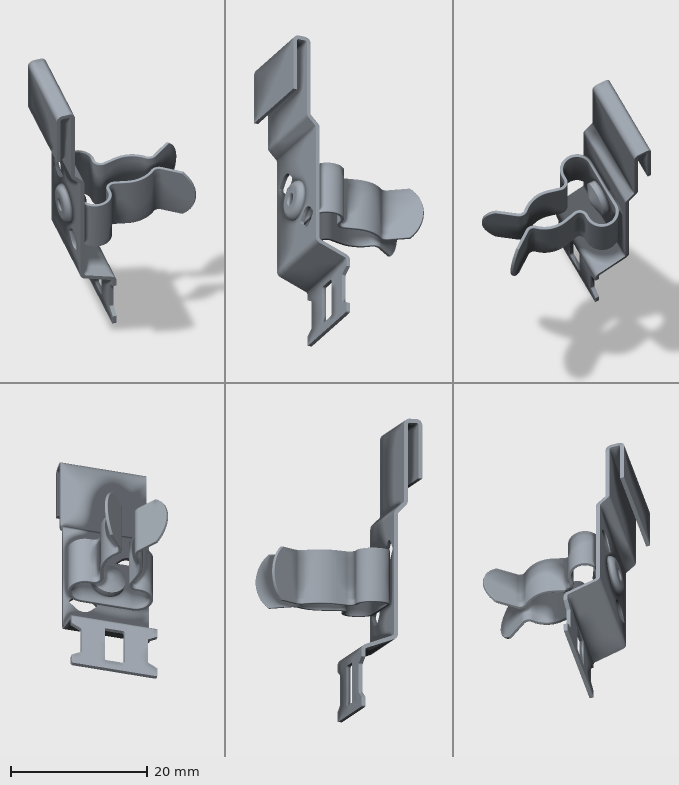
import cadquery as cq
import math

plate_width = 13.0
plate_height = 43.35
plate_thickness = 0.6
plate_bend_radius = 0.3
hook_tip_z = 34.5
hook_front_y = -3.7
upper_leg_front_y = -1.47
upper_jog_z = 30.05
upper_jog_angle = 45.0
lower_leg_front_y = 5.0
lower_jog_z = 9.85
lower_jog_angle = 70.0

leg_cutout_z = 4.5
slot_width = 3.0
slot_height = 6.0
leg_corner_radius = 0.25
notch_depth = 1.47
notch_outer_height = 6.0
notch_inner_height = 4.35

fastening_z = 19.85
pointed_hole_x = 3.45
pointed_hole_rise = 4.15
pointed_hole_radius = 1.6
pointed_hole_half_width = 2.1

clip_height = 8.0
clip_thickness = 0.48
clip_base_half_length = 3.85
loop_outer_radius = 2.5
loop_flat = 0.55
neck_radius = 1.1
neck_lean = 14.0
neck_straight = 1.85
grip_radius = 4.6
grip_end_lean = 44.0
throat_radius = 1.1
flap_lean = 36.7
flap_length = 5.35
flap_end_radius = 5.0
clip_edge_radius = 0.1

rivet_head_radius = 3.0
rivet_head_height = 1.0
rivet_shank_radius = 2.55
rivet_shank_end_y = 2.15
rivet_cone_slope = 22.0
rivet_tip_radius = 1.95
rivet_recess_radius = 1.0
rivet_recess_depth = 1.0

cut_margin = 0.45


def heading_vector(heading):
    """Unit vector for a heading in degrees."""
    return cq.Vector(math.cos(math.radians(heading)), math.sin(math.radians(heading)))


def straight(length):
    """One straight run of a strip."""
    return {"length": length}


def bend(radius, turn):
    """One bend of a strip: middle-line radius and turn, left turns positive."""
    return {"radius": radius, "turn": turn}


def walk(start, heading, steps):
    """Follow the middle line; return the end point and end heading of every step."""
    stations = [(start, heading)]
    for step in steps:
        point, heading = stations[-1]
        if "length" in step:
            stations.append((point + heading_vector(heading) * step["length"], heading))
        else:
            side = math.copysign(90, step["turn"])
            center = point + heading_vector(heading + side) * step["radius"]
            new_heading = heading + step["turn"]
            stations.append((center - heading_vector(new_heading + side) * step["radius"], new_heading))
    return stations


def bent_strip(plane, start, heading, steps, thickness, width):
    """Strip of constant thickness along a path, extruded to both sides of the plane."""
    stations = walk(start, heading, steps)

    def edge_point(point, direction, side):
        return (point + heading_vector(direction + side) * (thickness / 2)).toTuple()[:2]

    def edge_middle(index, side):
        half_step = bend(steps[index]["radius"], steps[index]["turn"] / 2)
        return edge_point(*walk(*stations[index], [half_step])[-1], side)

    def trace(outline, index, target, side):
        end = edge_point(*stations[target], side)
        if "length" in steps[index]:
            return outline.lineTo(*end)
        return outline.threePointArc(edge_middle(index, side), end)

    outline = cq.Workplane(plane).moveTo(*edge_point(*stations[0], 90))
    for index in range(len(steps)):
        outline = trace(outline, index, index + 1, 90)
    outline = outline.lineTo(*edge_point(*stations[-1], -90))
    for index in reversed(range(len(steps))):
        outline = trace(outline, index, index, -90)
    return outline.close().extrude(width / 2, both=True)


def plate_strip():
    """Sheet profile in the YZ plane, from the hook tip over the top and down to the foot."""
    half = plate_thickness / 2
    radius = plate_bend_radius + half

    def jog_lengths(offset, angle):
        """Straight length and full height of a sideways step with a bend at each end."""
        turn = math.radians(angle)
        slope = (offset - 2 * radius * (1 - math.cos(turn))) / math.sin(turn)
        return slope, slope * math.cos(turn) + 2 * radius * math.sin(turn)

    upper_slope, upper_jog_height = jog_lengths(-upper_leg_front_y, upper_jog_angle)
    lower_slope, lower_jog_height = jog_lengths(lower_leg_front_y, lower_jog_angle)
    top_bend_z = plate_height - half - radius
    upper_jog_top = upper_jog_z + upper_jog_height / 2
    upper_jog_bottom = upper_jog_z - upper_jog_height / 2
    lower_jog_top = lower_jog_z + lower_jog_height / 2
    lower_jog_bottom = lower_jog_z - lower_jog_height / 2

    steps = [
        straight(top_bend_z - hook_tip_z),
        bend(radius, -90),
        straight(upper_leg_front_y - hook_front_y - 2 * radius),
        bend(radius, -90),
        straight(top_bend_z - upper_jog_top),
        bend(radius, upper_jog_angle),
        straight(upper_slope),
        bend(radius, -upper_jog_angle),
        straight(upper_jog_bottom - lower_jog_top),
        bend(radius, lower_jog_angle),
        straight(lower_slope),
        bend(radius, -lower_jog_angle),
        straight(lower_jog_bottom),
    ]
    hook_tip = cq.Vector(hook_front_y + half, hook_tip_z)
    return bent_strip("YZ", hook_tip, 90, steps, plate_thickness, plate_width)


def through_y(outline, from_y, depth):
    """Prism of an XZ outline reaching from from_y - margin to from_y + depth + margin."""
    prism = outline.extrude(-(depth + 2 * cut_margin))
    return prism.translate((0, from_y - cut_margin, 0))


def leg_cutouts():
    """Slot and the two trapezoidal side notches of the bottom leg."""
    slot_outline = cq.Workplane("XZ").center(0, leg_cutout_z).rect(slot_width, slot_height)
    slot = through_y(slot_outline, lower_leg_front_y, plate_thickness)
    slot = slot.edges("|Y").fillet(leg_corner_radius)
    edge_x = plate_width / 2
    notch_outline = cq.Workplane("XZ").center(0, leg_cutout_z).polyline([
        (edge_x, notch_outer_height / 2),
        (edge_x - notch_depth, notch_inner_height / 2),
        (edge_x - notch_depth, -notch_inner_height / 2),
        (edge_x, -notch_outer_height / 2),
    ]).close()
    notch = through_y(notch_outline, lower_leg_front_y, plate_thickness)
    notch = notch.faces("<X").edges("|Y").fillet(leg_corner_radius)
    return slot.union(notch).union(notch.mirror("YZ"))


def pointed_hole(x, z):
    """Round hole drawn out to a blunt 45 degree point on both sides."""
    tangent = pointed_hole_radius * math.sin(math.radians(45))
    tip_half_height = 2 * tangent - pointed_hole_half_width
    outline = (
        cq.Workplane("XZ").center(x, z)
        .moveTo(-tangent, tangent)
        .threePointArc((0, pointed_hole_radius), (tangent, tangent))
        .lineTo(pointed_hole_half_width, tip_half_height)
        .lineTo(pointed_hole_half_width, -tip_half_height)
        .lineTo(tangent, -tangent)
        .threePointArc((0, -pointed_hole_radius), (-tangent, -tangent))
        .lineTo(-pointed_hole_half_width, -tip_half_height)
        .lineTo(-pointed_hole_half_width, tip_half_height)
        .close()
    )
    return through_y(outline, 0, plate_thickness)


def shank_hole():
    """Hole for the rivet shank through the plate and the clip base."""
    outline = cq.Workplane("XZ").center(0, fastening_z).circle(rivet_shank_radius)
    return through_y(outline, 0, plate_thickness + clip_thickness)


def make_plate():
    plate = plate_strip().faces("<Z").edges("|Y").fillet(leg_corner_radius)
    plate = plate.cut(leg_cutouts()).cut(shank_hole())
    for side in (-1, 1):
        plate = plate.cut(pointed_hole(side * pointed_hole_x, fastening_z - side * pointed_hole_rise))
    return plate


def flap_corners(flap_end, heading):
    """Waste around the rounded end of a flap."""
    half_height = clip_height / 2
    sag = flap_end_radius - math.sqrt(flap_end_radius ** 2 - half_height ** 2)
    along = heading_vector(heading)
    flap_plane = cq.Plane(
        origin=(flap_end.x, flap_end.y, fastening_z), xDir=along, normal=heading_vector(heading - 90)
    )
    return (
        cq.Workplane(flap_plane)
        .moveTo(-sag, half_height)
        .threePointArc((0, 0), (-sag, -half_height))
        .lineTo(cut_margin, -half_height)
        .lineTo(cut_margin, half_height)
        .close()
        .extrude(clip_thickness, both=True)
    )


def clip_arm():
    """The -X half of the clip, from the middle of the base to the flap end."""
    half = clip_thickness / 2
    steps = [
        straight(clip_base_half_length),
        bend(loop_outer_radius - half, -180),
        straight(loop_flat),
        bend(neck_radius, 90 + neck_lean),
        straight(neck_straight),
        bend(grip_radius, -(neck_lean + grip_end_lean)),
        bend(throat_radius, grip_end_lean + flap_lean),
        straight(flap_length),
    ]
    start = cq.Vector(0, plate_thickness + half)
    base_heading = 180
    level = cq.Plane.XY(origin=(0, 0, fastening_z))
    arm = bent_strip(level, start, base_heading, steps, clip_thickness, clip_height)
    flap_end, flap_heading = walk(start, base_heading, steps)[-1]
    return arm.cut(flap_corners(flap_end, flap_heading))


def make_clip():
    arm = clip_arm()
    clip = arm.union(arm.mirror("YZ"))
    rim_edges = clip.faces("|Z").edges()
    flap_end_edges = clip.faces(">Y").edges()
    clip = rim_edges.add(flap_end_edges).fillet(clip_edge_radius)
    return clip.cut(shank_hole())


def make_rivet():
    """Revolved rivet: rounded head with a conical recess, plain shank, blunt conical end."""
    head_face_y = -rivet_head_height
    flat_radius = rivet_head_radius - rivet_head_height
    diagonal = rivet_head_height * math.sin(math.radians(45))
    slope = math.radians(rivet_cone_slope)
    tip_center_y = (
        rivet_shank_end_y + rivet_shank_radius * math.tan(slope) - rivet_tip_radius / math.cos(slope)
    )

    def tip_point(angle):
        """Point of the rounded tip at an angle from the rivet axis."""
        return rivet_tip_radius * math.sin(angle), tip_center_y + rivet_tip_radius * math.cos(angle)

    profile = (
        cq.Workplane("XY", origin=(0, 0, fastening_z))
        .moveTo(0, head_face_y + rivet_recess_depth)
        .lineTo(rivet_recess_radius, head_face_y)
        .lineTo(flat_radius, head_face_y)
        .threePointArc((flat_radius + diagonal, -diagonal), (rivet_head_radius, 0))
        .lineTo(rivet_shank_radius, 0)
        .lineTo(rivet_shank_radius, rivet_shank_end_y)
        .lineTo(*tip_point(slope))
        .threePointArc(tip_point(slope / 2), tip_point(0))
        .close()
    )
    return profile.revolve(360, (0, 0, 0), (0, 1, 0))


plate = make_plate()
clip = make_clip()
rivet = make_rivet()

result = cq.Compound.makeCompound([plate.val(), clip.val(), rivet.val()])